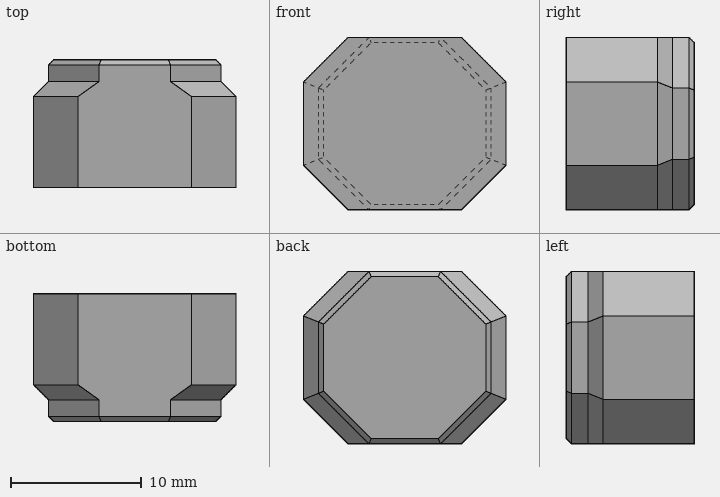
import cadquery as cq
import math

width = 15.5
height = 13.2
depth = 9.8

corner_cut = 3.41

neck_width = height
neck_corner_cut = neck_width / (2 + math.sqrt(2))

rim_chamfer = 0.4
neck_length = 1.27
taper_length = (width - neck_width) / 2
body_length = depth - rim_chamfer - neck_length - taper_length


def cut_corner_outline(size_x, size_z, cut):
    """Corner points of a rectangle centred on the Y axis with its corners cut off."""
    half_x = size_x / 2
    half_z = size_z / 2
    return [
        (half_x, half_z - cut),
        (half_x - cut, half_z),
        (cut - half_x, half_z),
        (-half_x, half_z - cut),
        (-half_x, cut - half_z),
        (cut - half_x, -half_z),
        (half_x - cut, -half_z),
        (half_x, cut - half_z),
    ]


def plane_at(y):
    """Workplane parallel to XZ at the given Y."""
    return cq.Workplane("XZ", origin=(0, y, 0))


body_outline = cut_corner_outline(width, height, corner_cut)
neck_outline = cut_corner_outline(neck_width, neck_width, neck_corner_cut)

body = plane_at(0).polyline(body_outline).close().extrude(-body_length)

taper = (
    plane_at(body_length)
    .polyline(body_outline)
    .close()
    .workplane(offset=-taper_length)
    .polyline(neck_outline)
    .close()
    .loft(ruled=True)
)

neck = (
    plane_at(body_length + taper_length)
    .polyline(neck_outline)
    .close()
    .extrude(-(neck_length + rim_chamfer))
    .faces(">Y")
    .chamfer(rim_chamfer)
)

result = body.union(taper).union(neck).clean()